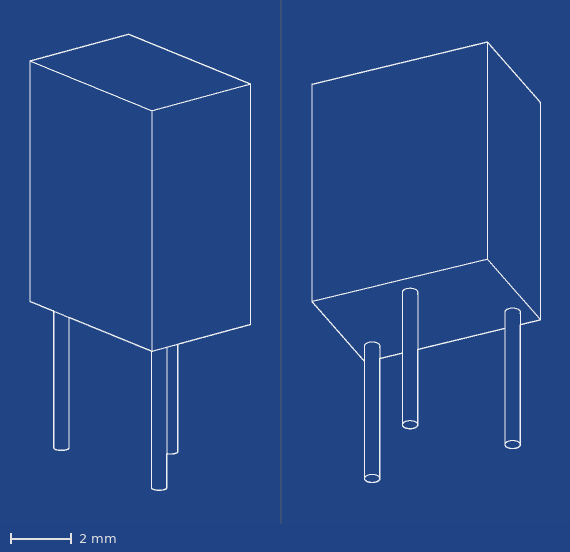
import cadquery as cq

housing_length = 6.35
housing_width = 4.19
housing_height = 8.38
total_height = 13.49

pin_diameter = 0.51
pin_pitch = 2.54
row_offset = pin_pitch / 2

pin_length = total_height - housing_height

pin_positions = [
    (-pin_pitch, -row_offset),
    (0, row_offset),
    (pin_pitch, -row_offset),
]


def make_housing():
    """Plain block standing on the XY plane."""
    return cq.Workplane("XY").box(
        housing_length, housing_width, housing_height, centered=(True, True, False)
    )


def make_pin(x, y):
    """Straight pin hanging from the underside of the housing."""
    return cq.Workplane("XY").center(x, y).circle(pin_diameter / 2).extrude(-pin_length)


housing = make_housing()
pins = [make_pin(x, y) for x, y in pin_positions]

result = cq.Compound.makeCompound([housing.val(), *[pin.val() for pin in pins]])